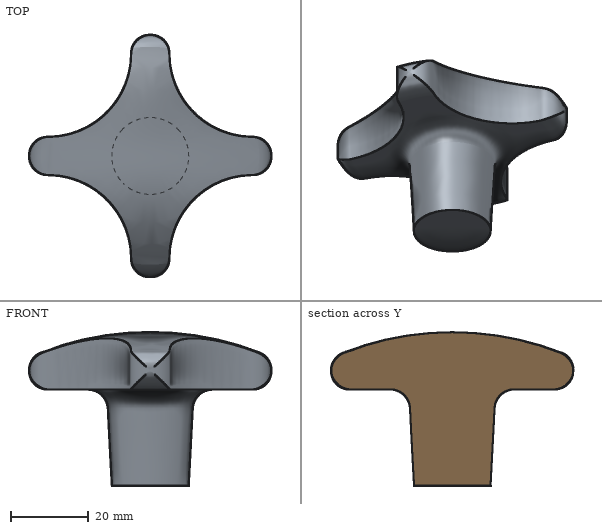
import cadquery as cq
import math

SPAN = 63.0
TOTAL_HEIGHT = 40.0
HEAD_BASE = 25.0
ARM_WIDTH = 10.0
ARM_COUNT = 4

HUB_END_RADIUS = 10.0
HUB_TAPER = math.radians(3.0)
HUB_FILLET = 5.0

TIP_RADIUS = ARM_WIDTH / 2
TIP_CENTRE = SPAN / 2 - TIP_RADIUS
TIP_CENTRE_HEIGHT = HEAD_BASE + TIP_RADIUS
SCALLOP_RADIUS = TIP_CENTRE - ARM_WIDTH / 2

CROWN_RISE = TOTAL_HEIGHT - TIP_CENTRE_HEIGHT
DOME_RADIUS = (TIP_CENTRE**2 + CROWN_RISE**2 - TIP_RADIUS**2) / (2 * (CROWN_RISE - TIP_RADIUS))
DOME_CENTRE_HEIGHT = TOTAL_HEIGHT - DOME_RADIUS


def arc_point(centre_r, centre_z, radius, angle):
    """Point on a circle in the radial section, angle measured from the horizontal."""
    return (centre_r + radius * math.cos(angle), centre_z + radius * math.sin(angle))


def revolved(section):
    """Solid made by turning a closed radial section about the Z axis."""
    return section.close().revolve(360, (0, 0, 0), (0, 1, 0))


def make_crown():
    """Domed disc with a flat underside and a rounded rim."""
    tangent_angle = math.atan2(TIP_CENTRE_HEIGHT - DOME_CENTRE_HEIGHT, TIP_CENTRE)
    dome_mid_angle = (tangent_angle + math.pi / 2) / 2
    dome_mid = arc_point(0, DOME_CENTRE_HEIGHT, DOME_RADIUS, dome_mid_angle)
    dome_end = arc_point(0, DOME_CENTRE_HEIGHT, DOME_RADIUS, tangent_angle)
    section = (
        cq.Workplane("XZ")
        .moveTo(0, HEAD_BASE)
        .lineTo(0, TOTAL_HEIGHT)
        .threePointArc(dome_mid, dome_end)
        .threePointArc((SPAN / 2, TIP_CENTRE_HEIGHT), (TIP_CENTRE, HEAD_BASE))
    )
    return revolved(section)


def make_star():
    """Upright prism with round-ended arms joined by concave scallops."""
    half_width = ARM_WIDTH / 2
    scallop_mid = TIP_CENTRE - SCALLOP_RADIUS * math.cos(math.pi / 4)

    def turned(x, y, arm):
        angle = arm * 2 * math.pi / ARM_COUNT
        return (
            x * math.cos(angle) - y * math.sin(angle),
            x * math.sin(angle) + y * math.cos(angle),
        )

    outline = cq.Workplane("XY").workplane(offset=HEAD_BASE).moveTo(TIP_CENTRE, -half_width)
    for arm in range(ARM_COUNT):
        tip = turned(SPAN / 2, 0, arm)
        scallop_start = turned(TIP_CENTRE, half_width, arm)
        scallop_middle = turned(scallop_mid, scallop_mid, arm)
        scallop_end = turned(half_width, TIP_CENTRE, arm)
        outline = outline.threePointArc(tip, scallop_start).threePointArc(scallop_middle, scallop_end)
    return outline.close().extrude(TOTAL_HEIGHT - HEAD_BASE)


def make_hub():
    """Tapered hub flaring through a tangent fillet into the underside of the head."""
    fillet_height = HEAD_BASE - HUB_FILLET
    touch_height = fillet_height + HUB_FILLET * math.sin(HUB_TAPER)
    touch_radius = HUB_END_RADIUS + touch_height * math.tan(HUB_TAPER)
    fillet_centre = touch_radius + HUB_FILLET * math.cos(HUB_TAPER)
    fillet_mid_angle = (math.pi / 2 + math.pi - HUB_TAPER) / 2
    fillet_mid = arc_point(fillet_centre, fillet_height, HUB_FILLET, fillet_mid_angle)
    section = (
        cq.Workplane("XZ")
        .lineTo(HUB_END_RADIUS, 0)
        .lineTo(touch_radius, touch_height)
        .threePointArc(fillet_mid, (fillet_centre, HEAD_BASE))
        .lineTo(0, HEAD_BASE)
    )
    return revolved(section)


head = make_crown().intersect(make_star())
result = head.union(make_hub())